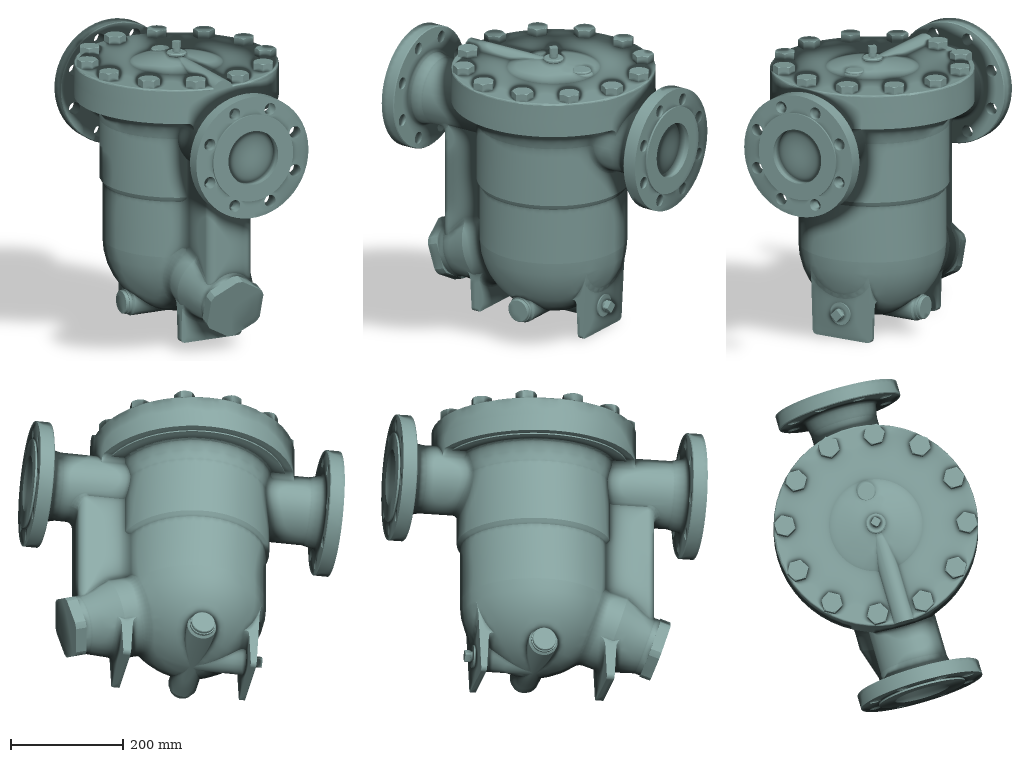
import cadquery as cq
import math


top_z = 138.5
foot_bottom_z = -379.5

upper_radius = 137.3
lower_radius = 132.0
neck_radius = 143.5
neck_top_z = 33.0
neck_bottom_z = -2.5
step_top_z = -112.0
step_bottom_z = -121.0
dome_center_z = -225.0
joint_radius = 168.0
joint_z = 36.5
joint_fillet = 3.5

cover_radius = 182.5
cover_top_z = 101.4
cover_joint_z = 68.7
flange_bottom_z = 38.7
cover_edge_fillet = 3.0
cover_dome_radius = 83.5
cover_dome_top_z = 113.8
rib_radius = 20.0
rib_axis_z = 94.0

bolt_count = 12
bolt_circle_radius = 162.5
bolt_flats = 34.0
bolt_head_height = 14.3
bolt_chamfer_slope = math.tan(math.radians(30))

stem_collar_diameter = 36.0
stem_collar_top_z = 119.5
stem_collar_bottom_z = 113.0
stem_collar_chamfer = 1.8
stem_neck_diameter = 14.0
stem_square_flats = 14.0
stem_square_diameter = 17.5
stem_square_bottom_z = 127.4
vent_x = -61.5
vent_diameter = 34.0
vent_top_z = 110.4
vent_chamfer = 2.0
vent_skirt_radius = 22.0
vent_skirt_top_z = 106.0

pipe_radius = 61.0
inlet_face_x = -259.5
outlet_face_x = 298.5
pipe_flange_diameter = 225.0
pipe_flange_thickness = 26.0
pipe_flange_chamfer = 1.5
raised_face_diameter = 160.0
raised_face_height = 3.5
hub_radius = 65.5
hub_fillet = 5.0
hub_length = 20.0
bore_diameter = 100.0
bore_depth = 20.0
flange_bolt_count = 8
flange_bolt_circle_diameter = 185.0
flange_bolt_hole_diameter = 22.0
pipe_to_flange_fillet = 10.0
pipe_to_body_fillet = 8.0

column_half_width = 44.0
column_end_x = 212.5
column_corner_radius = 14.5
column_root_fillet = 17.0
column_top_fillet = 13.0
column_bottom_z = -275.0

boss_tilt = 18.0
boss_radius = 71.7
boss_root_fillet = 20.0
boss_cone_start = 152.0
boss_cone_end = 211.0
boss_web_start = 100.0
boss_web_fillet = 15.0
cap_collar_diameter = 105.05
cap_collar_length = 10.0
cap_hex_length = 20.0
cap_hex_flats = 105.0
cap_hex_diameter = 115.0

drain_z = -331.5
drain_boss_radius = 26.0
drain_boss_half_length = 99.5
drain_boss_chamfer = 3.3
drain_rim_radius = 22.5
drain_rim_end = 104.7
drain_plug_diameter = 42.0
drain_plug_end = 111.0
drain_plug_chamfer = 1.0

foot_half_width = 60.5
foot_corner_radius = 8.0
foot_draft = 3.0
left_foot_root_fillet = 20.0
left_foot_inner_fillet = 6.0
right_foot_root_fillet = 9.0
left_foot_x = -100.5
left_foot_thickness = 10.0
left_foot_top_z = -250.0
right_foot_x = 128.7
right_foot_thickness = 13.7
right_foot_top_z = -290.0

foot_pad_diameter = 41.0
foot_pad_face_x = -111.5
foot_plug_neck_diameter = 18.0
foot_plug_square_x = -115.3
foot_plug_end_x = -125.6
foot_plug_flats = 17.0
foot_plug_diameter = 22.0


def rod(plane, radius, start, end):
    """Cylinder along the normal of a plane through the origin, between two offsets."""
    return cq.Workplane(plane).workplane(offset=start).circle(radius).extrude(end - start)


def rounded_square(plane, flats, diameter, start, end):
    """Square bar standing on its corner, with the corners turned to a diameter."""
    length = end - start
    bar = cq.Workplane(plane).workplane(offset=start).transformed(rotate=(0, 0, 45))
    return bar.rect(flats, flats).extrude(length).intersect(rod(plane, diameter / 2, start, end))


def make_body():
    """Turned vessel: body flange, neck, stepped shell and hemispherical bottom."""
    root = neck_radius + joint_fillet
    root_mid = root - joint_fillet * math.sqrt(0.5)
    root_mid_z = neck_top_z + joint_fillet * math.sqrt(0.5)
    dome_mid = lower_radius * math.sqrt(0.5)
    return (
        cq.Workplane("XZ")
        .moveTo(0, cover_joint_z)
        .lineTo(cover_radius, cover_joint_z)
        .lineTo(cover_radius, flange_bottom_z)
        .lineTo(joint_radius, flange_bottom_z)
        .lineTo(joint_radius, joint_z)
        .lineTo(root, joint_z)
        .threePointArc((root_mid, root_mid_z), (neck_radius, neck_top_z))
        .lineTo(upper_radius, neck_bottom_z)
        .lineTo(upper_radius, step_top_z)
        .lineTo(lower_radius, step_bottom_z)
        .lineTo(lower_radius, dome_center_z)
        .threePointArc((dome_mid, dome_center_z - dome_mid), (0, dome_center_z - lower_radius))
        .close()
        .revolve(360, (0, 0, 0), (0, 1, 0))
    )


def make_cover():
    """Cover disc with a shallow domed centre and a half-round rib running to +X."""
    disc = rod("XY", cover_radius, cover_joint_z, cover_top_z)
    disc = disc.faces(">Z").edges().fillet(cover_edge_fillet)
    dome_height = cover_dome_top_z - cover_top_z
    sphere_radius = (cover_dome_radius**2 + dome_height**2) / (2 * dome_height)
    sphere = cq.Workplane("XY").sphere(sphere_radius)
    sphere = sphere.translate((0, 0, cover_dome_top_z - sphere_radius))
    dome = sphere.intersect(rod("XY", cover_dome_radius, cover_joint_z, top_z))
    rib = rod("YZ", rib_radius, 0, cover_radius).translate((0, 0, rib_axis_z))
    rib = rib.intersect(rod("XY", cover_radius, cover_joint_z, top_z))
    return disc.union(dome).union(rib)


def make_bolts():
    """Ring of hexagon bolt heads, each turned with its place on the circle."""
    corner_diameter = bolt_flats / math.cos(math.radians(30))
    head = cq.Workplane("XY").polygon(6, corner_diameter).extrude(bolt_head_height)
    flat_radius = bolt_flats / 2
    rim_radius = flat_radius + bolt_head_height / bolt_chamfer_slope
    limit = (
        cq.Workplane("XZ")
        .lineTo(rim_radius, 0)
        .lineTo(flat_radius, bolt_head_height)
        .lineTo(0, bolt_head_height)
        .close()
        .revolve(360, (0, 0, 0), (0, 1, 0))
    )
    pitch = 360 / bolt_count
    first = pitch / 2
    head = head.intersect(limit).rotate((0, 0, 0), (0, 0, 1), -first)
    head = head.translate((bolt_circle_radius, 0, cover_top_z))
    bolts = cq.Workplane("XY")
    for index in range(bolt_count):
        bolts = bolts.add(head.rotate((0, 0, 0), (0, 0, 1), first + index * pitch))
    return bolts.combine()


def make_stem():
    """Collar, neck and square end at the centre of the cover."""
    collar = rod("XY", stem_collar_diameter / 2, stem_collar_bottom_z, stem_collar_top_z)
    collar = collar.faces("<Z or >Z").edges().chamfer(stem_collar_chamfer)
    neck = rod("XY", stem_neck_diameter / 2, stem_collar_top_z, stem_square_bottom_z)
    square = rounded_square("XY", stem_square_flats, stem_square_diameter, stem_square_bottom_z, top_z)
    return collar.union(neck).union(square)


def make_vent_plug():
    """Round plug on the cover dome, with a conical skirt that runs into the dome."""
    radius = vent_diameter / 2
    return (
        cq.Workplane("XZ")
        .moveTo(0, cover_joint_z)
        .lineTo(vent_skirt_radius, cover_joint_z)
        .lineTo(vent_skirt_radius, cover_top_z)
        .lineTo(radius, vent_skirt_top_z)
        .lineTo(radius, vent_top_z - vent_chamfer)
        .lineTo(radius - vent_chamfer, vent_top_z)
        .lineTo(0, vent_top_z)
        .close()
        .revolve(360, (0, 0, 0), (0, 1, 0))
        .translate((vent_x, 0, 0))
    )


def make_pipe(face_x):
    """Pipe from the vessel axis to a drilled raised-face flange at face_x."""
    length = abs(face_x)
    flange_front = length - raised_face_height
    flange_back = flange_front - pipe_flange_thickness
    hub_end = flange_back - hub_fillet
    hub_start = hub_end - hub_length
    rim_radius = pipe_flange_diameter / 2
    root_radius = hub_radius + hub_fillet
    mid_offset = hub_fillet * (1 - math.sqrt(0.5))
    pipe = (
        cq.Workplane("XY")
        .lineTo(0, pipe_radius)
        .lineTo(hub_start, pipe_radius)
        .lineTo(hub_end, hub_radius)
        .threePointArc((flange_back - mid_offset, hub_radius + mid_offset), (flange_back, root_radius))
        .lineTo(flange_back, rim_radius - pipe_flange_chamfer)
        .lineTo(flange_back + pipe_flange_chamfer, rim_radius)
        .lineTo(flange_front, rim_radius)
        .lineTo(flange_front, raised_face_diameter / 2)
        .lineTo(length, raised_face_diameter / 2)
        .lineTo(length, 0)
        .close()
        .revolve(360, (0, 0, 0), (1, 0, 0))
    )
    holes = (
        cq.Workplane("YZ")
        .workplane(offset=flange_back)
        .polarArray(flange_bolt_circle_diameter / 2, 180 / flange_bolt_count, 360, flange_bolt_count)
        .circle(flange_bolt_hole_diameter / 2)
        .extrude(pipe_flange_thickness)
    )
    pipe = pipe.cut(holes).cut(rod("YZ", bore_diameter / 2, length - bore_depth, length))
    return pipe if face_x > 0 else pipe.mirror("YZ")


def make_pipe_webs():
    """Fillets that blend both pipes into the underside of the body flange."""
    fillet = pipe_to_flange_fillet
    center_z = flange_bottom_z - fillet
    center_y = math.sqrt((pipe_radius + fillet) ** 2 - center_z**2)
    contact = pipe_radius / (pipe_radius + fillet)
    contact_y = center_y * contact
    contact_z = center_z * contact
    angle = (math.pi / 2 + math.atan2(-center_z, -center_y) + 2 * math.pi) / 2
    mid_y = center_y + fillet * math.cos(angle)
    mid_z = center_z + fillet * math.sin(angle)
    web = (
        cq.Workplane("YZ")
        .moveTo(-contact_y, contact_z)
        .lineTo(contact_y, contact_z)
        .threePointArc((mid_y, mid_z), (center_y, flange_bottom_z))
        .lineTo(-center_y, flange_bottom_z)
        .threePointArc((-mid_y, mid_z), (-contact_y, contact_z))
        .close()
        .extrude(cover_radius, both=True)
    )
    return web.intersect(rod("XY", cover_radius, 0, flange_bottom_z))


def make_column():
    """Outlet column beside the vessel, blended into the lower shell."""
    fillet = column_root_fillet
    center_y = column_half_width + fillet
    center_x = math.sqrt((lower_radius + fillet) ** 2 - center_y**2)
    contact = lower_radius / (lower_radius + fillet)
    contact_x = center_x * contact
    contact_y = center_y * contact
    angle = (math.atan2(-center_y, -center_x) - math.pi / 2) / 2
    mid_x = center_x + fillet * math.cos(angle)
    mid_y = center_y + fillet * math.sin(angle)
    return (
        cq.Workplane("XY")
        .workplane(offset=column_bottom_z)
        .moveTo(0, contact_y)
        .lineTo(contact_x, contact_y)
        .threePointArc((mid_x, mid_y), (center_x, column_half_width))
        .lineTo(column_end_x, column_half_width)
        .lineTo(column_end_x, -column_half_width)
        .lineTo(center_x, -column_half_width)
        .threePointArc((mid_x, -mid_y), (contact_x, -contact_y))
        .lineTo(0, -contact_y)
        .close()
        .extrude(-column_bottom_z)
        .edges("|Z and >X")
        .fillet(column_corner_radius)
    )


def tilt_strainer(shape):
    """Place a shape built along X onto the tilted axis through the centre of the dome."""
    return shape.rotate((0, 0, 0), (0, 1, 0), boss_tilt).translate((0, 0, dome_center_z))


def make_strainer():
    """Tilted strainer boss with its hexagon cap, turned about the tilted axis."""
    sphere_reach = lower_radius + boss_root_fillet
    center_radius = boss_radius + boss_root_fillet
    center_axial = math.sqrt(sphere_reach**2 - center_radius**2)
    contact = lower_radius / sphere_reach
    start_angle = math.atan2(-center_radius, -center_axial)
    mid_angle = (start_angle - math.pi / 2) / 2
    mid_axial = center_axial + boss_root_fillet * math.cos(mid_angle)
    mid_radius = center_radius + boss_root_fillet * math.sin(mid_angle)
    collar_end = boss_cone_end + cap_collar_length
    boss = (
        cq.Workplane("XY")
        .lineTo(0, center_radius * contact)
        .lineTo(center_axial * contact, center_radius * contact)
        .threePointArc((mid_axial, mid_radius), (center_axial, boss_radius))
        .lineTo(boss_cone_start, boss_radius)
        .lineTo(boss_cone_end, cap_collar_diameter / 2)
        .lineTo(collar_end, cap_collar_diameter / 2)
        .lineTo(collar_end, 0)
        .close()
        .revolve(360, (0, 0, 0), (1, 0, 0))
    )
    hexagon = (
        cq.Workplane("YZ")
        .workplane(offset=collar_end)
        .transformed(rotate=(0, 0, 90))
        .polygon(6, cap_hex_flats / math.cos(math.radians(30)))
        .extrude(cap_hex_length)
        .intersect(rod("YZ", cap_hex_diameter / 2, collar_end, collar_end + cap_hex_length))
    )
    return tilt_strainer(boss.union(hexagon))


def web_section(plane_offset, shell_radius, side):
    """Section of the blend between a column side and a round boss of the given radius."""
    fillet = boss_web_fillet
    center_y = column_half_width + fillet
    center_z = math.sqrt((shell_radius + fillet) ** 2 - center_y**2)
    contact = shell_radius / (shell_radius + fillet)
    mid_angle = (math.pi + math.atan2(-center_z, -center_y) + 2 * math.pi) / 2
    mid_y = center_y + fillet * math.cos(mid_angle)
    mid_z = center_z + fillet * math.sin(mid_angle)
    return (
        cq.Workplane("YZ")
        .workplane(offset=plane_offset)
        .moveTo(side * column_half_width, center_z)
        .threePointArc((side * mid_y, mid_z), (side * center_y * contact, center_z * contact))
        .lineTo(side * column_half_width / 2, center_z * contact)
        .close()
        .wires()
        .val()
    )


def make_boss_webs():
    """Fillets between the flat sides of the column and the tilted strainer boss."""
    webs = cq.Workplane("XY")
    for side in (-1, 1):
        root = web_section(boss_web_start, boss_radius, side)
        shoulder = web_section(boss_cone_start, boss_radius, side)
        tip = web_section(boss_cone_end, cap_collar_diameter / 2, side)
        webs = webs.add(cq.Solid.makeLoft([root, shoulder], True))
        webs = webs.add(cq.Solid.makeLoft([shoulder, tip], True))
    webs = tilt_strainer(webs.combine())
    flat_end_x = column_end_x - column_corner_radius
    limit = cq.Workplane("XY").box(2 * flat_end_x, 2 * cover_radius, -2 * foot_bottom_z)
    return webs.intersect(limit)


def make_drains():
    """Drain bosses across the bottom: along Y with rims and plugs, and along -X to the left foot."""
    across = rod("XZ", drain_boss_radius, -drain_boss_half_length, drain_boss_half_length)
    across = across.faces("<Y or >Y").edges().chamfer(drain_boss_chamfer)
    plugs = rod("XZ", drain_plug_diameter / 2, -drain_plug_end, drain_plug_end)
    plugs = plugs.faces("<Y or >Y").edges().chamfer(drain_plug_chamfer)
    rims = rod("XZ", drain_rim_radius, -drain_rim_end, drain_rim_end)
    to_foot = rod("YZ", drain_boss_radius, left_foot_x, 0)
    return across.union(rims).union(plugs).union(to_foot).translate((0, 0, drain_z))


def make_foot(center_x, thickness, foot_top_z):
    """Foot plate, thicker towards its top, with rounded bottom corners."""
    spread = (foot_top_z - foot_bottom_z) * math.tan(math.radians(foot_draft))
    bottom_half = thickness / 2
    top_half = bottom_half + spread
    plate = (
        cq.Workplane("XZ")
        .moveTo(center_x - bottom_half, foot_bottom_z)
        .lineTo(center_x + bottom_half, foot_bottom_z)
        .lineTo(center_x + top_half, foot_top_z)
        .lineTo(center_x - top_half, foot_top_z)
        .close()
        .extrude(foot_half_width, both=True)
    )
    return plate.edges("|X and <Z").fillet(foot_corner_radius)


def make_foot_plug():
    """Round pad and square-ended plug on the outside of the left foot."""
    pad = rod("YZ", foot_pad_diameter / 2, foot_pad_face_x, left_foot_x)
    neck = rod("YZ", foot_plug_neck_diameter / 2, foot_plug_square_x, left_foot_x)
    square = rounded_square("YZ", foot_plug_flats, foot_plug_diameter, foot_plug_end_x, foot_plug_square_x)
    return pad.union(neck).union(square).translate((0, 0, drain_z))


def add_inlet(body):
    """Inlet pipe, with a fillet where it enters the vessel wall below the flange."""
    joined = body.union(make_pipe(inlet_face_x))
    seam_inner_x = -math.sqrt(lower_radius**2 - pipe_radius**2) + pipe_to_body_fillet
    low_corner = (-neck_radius, -hub_radius, -hub_radius)
    high_corner = (seam_inner_x, hub_radius, neck_top_z)
    seam = cq.selectors.BoxSelector(low_corner, high_corner)
    return joined.edges(seam).fillet(pipe_to_body_fillet).union(make_pipe_webs())


def make_outlet():
    """Outlet pipe and column, with a fillet round the column corners under the pipe."""
    joined = make_pipe(outlet_face_x).union(make_column())
    low_corner = (column_end_x - 2 * column_corner_radius, -pipe_radius, -pipe_radius)
    high_corner = (column_end_x + column_corner_radius, pipe_radius, -pipe_radius / 2)
    seam = cq.selectors.BoxSelector(low_corner, high_corner)
    rounded = joined.edges(seam).fillet(column_top_fillet)
    corner_x = column_end_x - column_corner_radius
    return joined.union(rounded.intersect(rod("YZ", pipe_flange_diameter, corner_x, outlet_face_x)))


def add_left_foot(body):
    """Left foot, with fillets where its outer and inner faces meet the dome."""
    joined = body.union(make_foot(left_foot_x, left_foot_thickness, left_foot_top_z))
    for side, fillet in ((-1, left_foot_root_fillet), (1, left_foot_inner_fillet)):
        near_x = left_foot_x + side * left_foot_thickness / 2
        far_x = left_foot_x + side * left_foot_thickness
        low_corner = (min(near_x, far_x), -drain_boss_radius, dome_center_z - lower_radius)
        high_corner = (max(near_x, far_x), drain_boss_radius, left_foot_top_z)
        seam = cq.selectors.BoxSelector(low_corner, high_corner)
        joined = joined.edges(seam).fillet(fillet)
    return joined


def make_strainer_and_foot():
    """Strainer with the right foot filleted under its boss."""
    foot = make_foot(right_foot_x, right_foot_thickness, right_foot_top_z)
    joined = make_strainer().union(foot)
    middle_z = (right_foot_top_z + foot_bottom_z) / 2
    low_corner = (right_foot_x - right_foot_thickness, -foot_half_width, middle_z)
    high_corner = (right_foot_x + right_foot_thickness, foot_half_width, right_foot_top_z)
    seam = cq.selectors.BoxSelector(low_corner, high_corner)
    return joined.edges(seam).edges("%ELLIPSE").fillet(right_foot_root_fillet)


vessel = add_inlet(add_left_foot(make_body()))
vessel = vessel.union(make_outlet()).union(make_strainer_and_foot()).union(make_boss_webs())
vessel = vessel.union(make_drains()).union(make_foot_plug())
cover = make_cover().union(make_vent_plug()).union(make_stem()).union(make_bolts())
result = vessel.union(cover, clean=False)